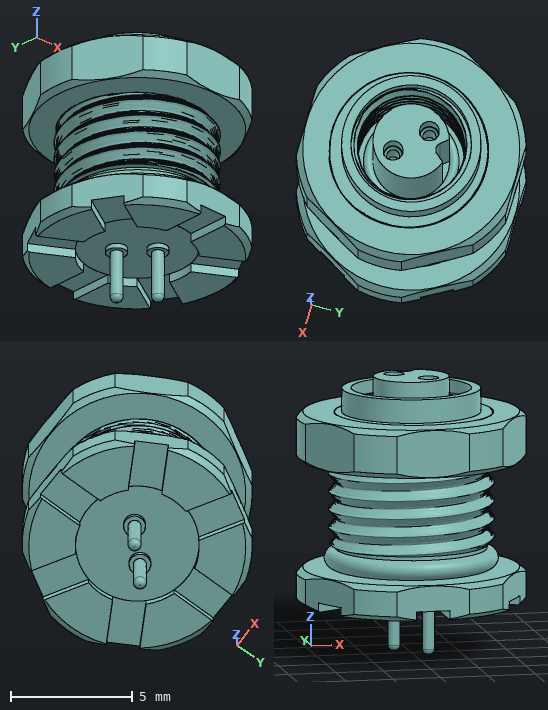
import cadquery as cq
import math


across_flats = 9.0
across_corners = 9.5
hex_chamfer_radius = 4.48
hex_chamfer_height = 0.22
flange_thickness = 1.48
nut_bottom_z = 4.5
nut_thickness = 2.02
nut_top_z = nut_bottom_z + nut_thickness

slot_width = 1.39
slot_depth = 0.4
slot_count = 3

spiral_steps = 6

outer_crest_radius = 3.43
outer_root_radius = 3.13
outer_pitch = 0.75
outer_thread_bottom_z = 1.01
outer_start_angle = 214

collar_radius = 2.88
shell_top_z = 7.5
entry_bore_radius = 2.48
entry_bore_depth = 0.56
rear_bore_radius = 2.55

inner_minor_radius = 2.2
inner_major_radius = 2.45
inner_pitch = 0.5
inner_start_angle = 255
liner_radius = 2.73

insert_top_z = 8.0
nose_radius = 1.58
shoulder_z = 3.99
insert_bottom_z = slot_depth - flange_thickness
contact_offset = 0.6
contact_hole_radius = 0.41
contact_recess = 0.93

key_apex_y = 0.92
key_half_angle = 41
key_tip_radius = 0.29

panel_ring_section_radius = 0.41
panel_ring_center_radius = 3.19
face_ring_section_radius = 0.2
face_ring_center_radius = nose_radius + face_ring_section_radius

pin_body_radius = 0.45
pin_body_bottom_z = -1.3
pin_tail_radius = 0.27
pin_tip_z = -3.6
pin_tip_round = 0.24
socket_radius = 0.27
socket_rim_radius = 0.38
socket_rim_depth = 0.12
socket_depth = 1.39
socket_point_height = 0.19


def cylinder(radius, bottom_z, top_z):
    """Cylinder on the Z axis between two heights."""
    return cq.Workplane("XY").workplane(offset=bottom_z).circle(radius).extrude(top_z - bottom_z)


def thread(root_radius, crest_radius, pitch, start_angle, bottom_z, top_z):
    """Right-hand V-threaded rod, its crest at start_angle on the bottom face.

    A level cut through a V thread is a pair of mirrored spirals that run
    from the root to the crest over half a turn each.
    """
    def spiral(side):
        points = []
        for step in range(spiral_steps + 1):
            rise = step / spiral_steps
            radius = root_radius + (crest_radius - root_radius) * rise
            angle = math.radians(start_angle) + side * math.pi * (1 - rise)
            points.append((radius * math.cos(angle), radius * math.sin(angle)))
        return points

    length = top_z - bottom_z
    return (
        cq.Workplane("XY")
        .workplane(offset=bottom_z)
        .spline(spiral(1))
        .spline(spiral(-1)[-2::-1], includeCurrent=True)
        .close()
        .twistExtrude(length, 360 * length / pitch)
    )


def hexagon(bottom_z, top_z):
    """Hexagonal prism with turned-off corners, chamfered at both ends."""
    corner_diameter = across_flats / math.cos(math.radians(30))
    prism = (
        cq.Workplane("XY")
        .workplane(offset=bottom_z)
        .polygon(6, corner_diameter)
        .extrude(top_z - bottom_z)
    )
    turned_radius = across_corners / 2
    turned_blank = (
        cq.Workplane("XZ")
        .moveTo(0, bottom_z)
        .lineTo(hex_chamfer_radius, bottom_z)
        .lineTo(turned_radius, bottom_z + hex_chamfer_height)
        .lineTo(turned_radius, top_z - hex_chamfer_height)
        .lineTo(hex_chamfer_radius, top_z)
        .lineTo(0, top_z)
        .close()
        .revolve(360, (0, 0), (0, 1))
    )
    return prism.intersect(turned_blank)


def ring(center_radius, section_radius, bottom_z):
    """O-ring lying with its underside at bottom_z."""
    return (
        cq.Workplane("XZ")
        .center(center_radius, bottom_z + section_radius)
        .circle(section_radius)
        .revolve(360, (-center_radius, 0), (-center_radius, 1))
    )


def outer_thread(bottom_z):
    """Outer thread from the given height up to the nut's top face, always in the same helical phase."""
    turned_angle = 360 * (bottom_z - outer_thread_bottom_z) / outer_pitch
    return thread(
        outer_root_radius, outer_crest_radius, outer_pitch, outer_start_angle + turned_angle,
        bottom_z, nut_top_z,
    )


def threaded_liner(bottom_z, top_z):
    """Inner layer of the barrel wall that carries the inner thread."""
    inner_thread = thread(
        inner_minor_radius, inner_major_radius, inner_pitch, inner_start_angle, bottom_z, top_z
    )
    return cylinder(liner_radius, bottom_z, top_z).cut(inner_thread)


def threaded_barrel():
    """Tube with the outer thread on its outside and the inner thread in its bore."""
    entry_bottom_z = shell_top_z - entry_bore_depth
    stem = cylinder(collar_radius, 0, shell_top_z).union(
        cylinder(outer_root_radius, 0, outer_thread_bottom_z)
    )
    bore = (
        cylinder(rear_bore_radius, 0, shoulder_z)
        .union(cylinder(liner_radius, shoulder_z, entry_bottom_z))
        .union(cylinder(entry_bore_radius, entry_bottom_z, shell_top_z))
    )
    tube = stem.union(outer_thread(outer_thread_bottom_z)).cut(bore)
    return tube.union(threaded_liner(shoulder_z, entry_bottom_z))


def slotted_flange():
    """Hexagonal flange with spanner slots, each running through to the opposite flat."""
    flange = hexagon(-flange_thickness, 0)
    for index in range(slot_count):
        slot = (
            cq.Workplane("XY")
            .workplane(offset=-flange_thickness)
            .rect(across_corners, slot_width)
            .extrude(slot_depth)
            .rotate((0, 0, 0), (0, 0, 1), 30 + index * 180 / slot_count)
        )
        flange = flange.cut(slot)
    return flange.cut(cylinder(rear_bore_radius, -flange_thickness, 0))


def make_shell(panel_ring):
    """Flange and barrel in one, with a matching seat for the panel O-ring."""
    return slotted_flange().union(threaded_barrel()).cut(panel_ring)


def make_nut():
    return hexagon(nut_bottom_z, nut_top_z).cut(outer_thread(nut_bottom_z))


def make_insert(contact_points):
    body = cylinder(rear_bore_radius, insert_bottom_z, shoulder_z)
    nose = cylinder(nose_radius, shoulder_z, insert_top_z)

    key_height = nose_radius - key_apex_y
    key_half_width = key_height * math.tan(math.radians(key_half_angle))
    key = (
        cq.Workplane("XY")
        .workplane(offset=shoulder_z)
        .moveTo(0, key_apex_y)
        .lineTo(key_half_width, nose_radius)
        .lineTo(-key_half_width, nose_radius)
        .close()
        .extrude(insert_top_z - shoulder_z)
        .edges("|Z and <Y")
        .fillet(key_tip_radius)
    )
    insert = body.union(nose.cut(key))

    for x, y in contact_points:
        entry = cylinder(contact_hole_radius, insert_bottom_z, insert_top_z)
        seat = cylinder(pin_body_radius, insert_bottom_z, insert_top_z - contact_recess)
        insert = insert.cut(entry.union(seat).translate((x, y, 0)))
    return insert


def make_pin(x, y):
    top_z = insert_top_z - contact_recess
    body = cylinder(pin_body_radius, pin_body_bottom_z, top_z)
    tail = cylinder(pin_tail_radius, pin_tip_z, pin_body_bottom_z)
    tail = tail.faces("<Z").edges().fillet(pin_tip_round)

    socket = (
        cq.Workplane("XZ")
        .moveTo(0, top_z)
        .lineTo(socket_rim_radius, top_z)
        .lineTo(socket_radius, top_z - socket_rim_depth)
        .lineTo(socket_radius, top_z - socket_depth)
        .lineTo(0, top_z - socket_depth - socket_point_height)
        .close()
        .revolve(360, (0, 0), (0, 1))
    )
    return body.union(tail).cut(socket).translate((x, y, 0))


contact_points = [(-contact_offset, contact_offset), (contact_offset, -contact_offset)]

panel_ring = ring(panel_ring_center_radius, panel_ring_section_radius, 0)
face_ring = ring(face_ring_center_radius, face_ring_section_radius, shoulder_z)
shell = make_shell(panel_ring)
nut = make_nut()
insert = make_insert(contact_points)
pins = [make_pin(x, y) for x, y in contact_points]

result = cq.Compound.makeCompound([
    shell.val(),
    nut.val(),
    panel_ring.val(),
    face_ring.val(),
    insert.val(),
    *[pin.val() for pin in pins],
])